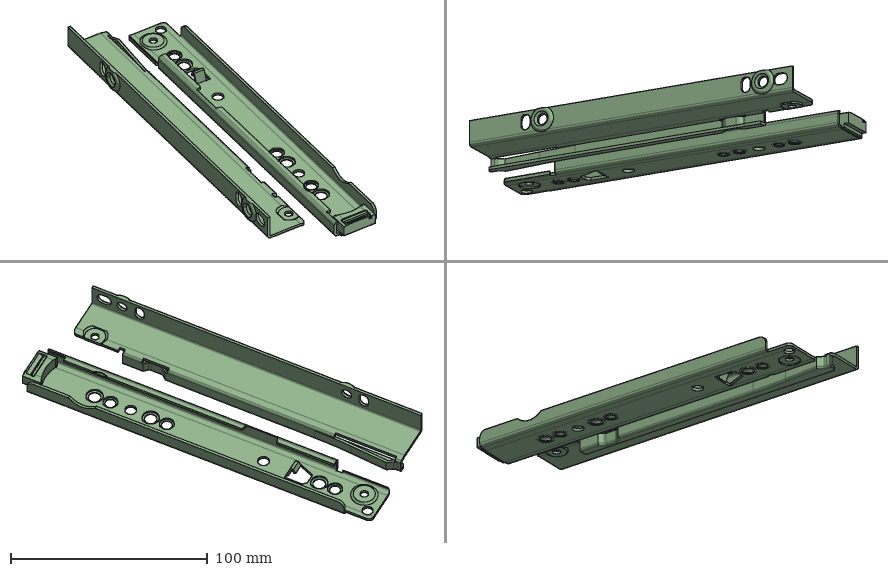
import cadquery as cq
import math


SHEET = 1.5
INNER_BEND = 0.5
OUTER_BEND = INNER_BEND + SHEET
EDGE_RISE = 0.5
FAR = 99.6

CHANNEL_END = 194.7
CHANNEL_FRONT = 37.0
CHANNEL_BACK = 62.8
CHANNEL_HEIGHT = 9.2
FLOOR_FRONT = 41.9
FLOOR_BACK = 57.8
LIP_EDGE = 41.5
LIP_START, LIP_END = 30.7, 184.5
BACK_FLANGE_START = 14.3
FLANGE_CORNER = 3.8
TONGUE_FRONT, TONGUE_BACK = 37.9, 60.5
TONGUE_CORNER = 2.5
RELIEF_START = 27.3
RELIEF_EDGE = 39.0
LIP_GAP_START, LIP_GAP_END = 62.8, 83.7
LIP_GAP_TAPER = 1.4
DIP_START, DIP_LOW, DIP_END = 155.9, 163.5, 171.0
DIP_DEPTH = 3.2
DENT_LENGTH, DENT_WIDTH, DENT_DEPTH = 8.0, 1.2, 0.5

HOLE_LINE = 49.8
SMALL_HOLES = (26.0, 121.5, 153.7)
SMALL_BORE, SMALL_SINK = 5.5, 7.5
LARGE_HOLES = (34.9, 130.7, 162.6)
LARGE_BORE, LARGE_SINK = 6.4, 8.8
SINK_DEPTH = 1.0
PLAIN_HOLES = (66.5, 142.1)
PLAIN_BORE = 6.0
CORNER_HOLE = (4.5, 55.5)
CORNER_BORE = 5.5

PIVOT_BORE = 4.2
CHANNEL_DIMPLE = (10.8, 46.8)
CHANNEL_DIMPLE_RADIUS, CHANNEL_DIMPLE_TOP_RADIUS = 7.0, 5.5
DIMPLE_RISE = 0.8

WINDOW_LEFT, WINDOW_RIGHT = 40.3, 52.2
WINDOW_BACK, WINDOW_FRONT = 54.6, 42.3
WINDOW_CHAMFER = 2.0
WINDOW_LEFT_FRONT = 46.8
TAB_FRONT, TAB_BACK = 46.2, 52.2
TAB_TOP = 7.0
TAB_RISE_RUN = 2.2
TAB_CREST_RUN = 3.8
TAB_TIP_RUN = 5.2
TAB_TIP_DROP = 2.4
TAB_THICKNESS = 1.2

ANGLE_START, ANGLE_END = 0.5, 188.0
ANGLE_TILT = -0.18
ANGLE_TOP = 23.3
WALL_FACE = 1.8
WEB_BOTTOM = 9.8
WEB_TOP = WEB_BOTTOM + SHEET
WEB_FLAT_EDGE = 21.3
RUNNER_FACE = 26.0
RUNNER_INNER = RUNNER_FACE - SHEET
RUNNER_BEND = 1.4
RUNNER_TOP = 9.0
RUNNER_END = 159.0
FOOT_BOTTOM = 2.4
FOOT_TOP = FOOT_BOTTOM + SHEET
FOOT_EDGE = 21.0
FOOT_BEND = 1.2
FOOT_CORNER = 2.0
RAMP_START, RAMP_PEAK = 3.5, 7.5
RAMP_OUT = 2.4
RAMP_ARC_START, RAMP_ARC_END = 28.3, 49.5
RAMP_MEET = (RAMP_ARC_START + RAMP_ARC_END) / 2
JOG_START, JOG_END = 134.7, 147.5
JOG_SLOPE = 2.8
JOG_IN = 2.4
JOG_BEND = 1.5
RAMP_BEND = 3.0
RAMP_SLIT = (4.0, 38.7)
JOG_SLIT = (133.5, 148.0)
SLIT_EDGE = 23.7
END_TAB_EDGE = 25.0
END_TAB_CORNER = 2.5
ANGLE_RELIEF_END = 162.0
ANGLE_RELIEF_EDGE = 23.0

ANGLE_DIMPLE = (176.8, 21.7)
ANGLE_DIMPLE_RADIUS, ANGLE_DIMPLE_FLOOR_RADIUS = 6.5, 5.4
ANGLE_DIMPLE_EDGE = 16.5

BOSS_PLACES = (42.8, 170.8)
BOSS_LEVEL = 17.5
BOSS_DIAMETER = 13.2
BOSS_HEIGHT = 1.2
BOSS_SHOULDER_HEIGHT = 1.0
BOSS_SHOULDER_SHARE = 0.65
BOSS_BORE, BOSS_SINK = 5.5, 8.0
TALL_SLOTS = (33.0, 160.8)
TALL_SLOT_LENGTH, TALL_SLOT_WIDTH = 8.2, 5.2
LONG_SLOT = 181.0
LONG_SLOT_LENGTH, LONG_SLOT_WIDTH = 8.0, 6.2

STOP_START, STOP_END = 188.5, 199.0
STOP_FRONT, STOP_BACK = 40.5, 59.4
STOP_TOP = 8.5
STOP_SIDE_TOP = 8.0
STOP_HOLLOW = 1.5
STOP_RIM = 1.4
STOP_RIM_STEP = 0.4
STOP_CREST_FRONT, STOP_CREST_BACK = 43.2, 56.2
OVERHANG_BOTTOM = 2.4
HOOK_END = 196.3
HOOK_BOTTOM = 0.5
GROOVE_START, GROOVE_STEP, GROOVE_DEEP_END, GROOVE_END = 193.5, 195.1, 196.1, 198.0
GROOVE_LEDGE, GROOVE_BOTTOM = 8.0, 6.8
GROOVE_FRONT, GROOVE_BACK = 42.0, 57.2
NUB_SIZE = 1.5
NUB_END = 199.3
NUB_CENTER = 56.2


def block(x0, x1, y0, y1, z0, z1):
    """Box between two opposite corners."""
    return cq.Workplane("XY").box(x1 - x0, y1 - y0, z1 - z0, centered=False).translate((x0, y0, z0))


def disc(center, diameter, z0, z1):
    """Upright cylinder between two heights."""
    return cq.Workplane("XY", origin=(*center, z0)).circle(diameter / 2).extrude(z1 - z0)


def cone(center, z0, r0, z1, r1):
    """Upright cone frustum with radius r0 at z0 and r1 at z1."""
    return cq.Workplane("XY").add(cq.Solid.makeCone(r0, r1, z1 - z0, (*center, z0)))


def prism(plane, points, start, length):
    """Polygon pushed along the normal of a plane."""
    return cq.Workplane(plane).workplane(offset=start).polyline(points).close().extrude(length)


def offset_path(points, distance):
    """Copy of an open path moved to its left, with mitred corners."""
    headings = [math.atan2(b[1] - a[1], b[0] - a[0]) for a, b in zip(points, points[1:])]
    before = [headings[0]] + headings
    after = headings + [headings[-1]]
    moved = []
    for (u, v), h0, h1 in zip(points, before, after):
        middle = (h0 + h1) / 2
        reach = distance / math.cos((h1 - h0) / 2)
        moved.append((u - reach * math.sin(middle), v + reach * math.cos(middle)))
    return moved


def strip_section(points, thickness):
    """Closed outline of a folded strip lying to the left of a path."""
    return points + offset_path(points, thickness)[::-1]


def round_edges(body, corners, x, radius):
    """Round the long edges that pass through the given YZ corners."""
    for y, z in corners:
        body = body.edges(cq.selectors.NearestToPointSelector((x, y, z))).fillet(radius)
    return body


def channel_sheet():
    """Folded channel with a lip on its front flange."""
    path = [
        (CHANNEL_BACK, CHANNEL_HEIGHT),
        (CHANNEL_BACK, EDGE_RISE),
        (FLOOR_BACK, 0),
        (FLOOR_FRONT, 0),
        (CHANNEL_FRONT, EDGE_RISE),
        (CHANNEL_FRONT, CHANNEL_HEIGHT),
        (LIP_EDGE, CHANNEL_HEIGHT),
    ]
    inner = offset_path(path, -SHEET)
    bends = (1, 4, 5)
    sheet = prism("YZ", path + inner[::-1], 0, CHANNEL_END)
    middle = CHANNEL_END / 2
    sheet = round_edges(sheet, [path[i] for i in bends], middle, OUTER_BEND)
    return round_edges(sheet, [inner[i] for i in bends], middle, INNER_BEND)


def trim_channel(rail):
    """Cut the flanges and the lip back and shape the left tongue."""
    top = CHANNEL_HEIGHT + 2
    flange_root = EDGE_RISE + OUTER_BEND
    rail = rail.cut(block(-2, LIP_START, 0, TONGUE_FRONT, -2, top))
    rail = rail.cut(block(-2, LIP_START, 0, FLOOR_FRONT, flange_root, top))
    rail = rail.cut(block(-2, BACK_FLANGE_START, TONGUE_BACK, FAR, -2, top))
    rail = rail.cut(block(RELIEF_START, LIP_START, 0, RELIEF_EDGE, -2, top))
    lip_root = CHANNEL_FRONT + OUTER_BEND
    rail = rail.cut(block(LIP_END, FAR * 2, lip_root, FLOOR_FRONT, flange_root, top))
    for y in (TONGUE_FRONT, TONGUE_BACK):
        corner = cq.selectors.NearestToPointSelector((0, y, SHEET))
        rail = rail.edges("|Z").edges(corner).fillet(TONGUE_CORNER)
    gap = [
        (LIP_GAP_START, LIP_EDGE + 2),
        (LIP_GAP_END, LIP_EDGE + 2),
        (LIP_GAP_END - LIP_GAP_TAPER, CHANNEL_FRONT + SHEET),
        (LIP_GAP_START + LIP_GAP_TAPER, CHANNEL_FRONT + SHEET),
    ]
    return rail.cut(prism("XY", gap, flange_root, top))


def shape_back_flange(rail):
    """Round the upper corners of the back flange and dip its top edge."""
    for x in (BACK_FLANGE_START, CHANNEL_END):
        corner = cq.selectors.NearestToPointSelector((x, CHANNEL_BACK - SHEET / 2, CHANNEL_HEIGHT))
        rail = rail.edges("|Y").edges(corner).fillet(FLANGE_CORNER)
    low = CHANNEL_HEIGHT - DIP_DEPTH
    dip = (
        cq.Workplane("XZ", origin=(0, FAR, 0))
        .moveTo(DIP_START, CHANNEL_HEIGHT)
        .spline([(DIP_LOW, low), (DIP_END, CHANNEL_HEIGHT)], includeCurrent=True)
        .close()
        .extrude(FAR - FLOOR_BACK)
    )
    return rail.cut(dip)


def dent_lip(rail):
    """Shallow arc-shaped dent in the top of the lip."""
    radius = (DENT_LENGTH ** 2 / 4 + DENT_WIDTH ** 2) / (2 * DENT_WIDTH)
    center = (DIP_LOW, LIP_EDGE - DENT_WIDTH + radius)
    floor = CHANNEL_HEIGHT - DENT_DEPTH
    lip_zone = block(DIP_START, DIP_END, CHANNEL_FRONT, FLOOR_FRONT, floor, CHANNEL_HEIGHT)
    return rail.cut(disc(center, 2 * radius, floor, CHANNEL_HEIGHT).intersect(lip_zone))


def drill_channel(rail):
    """Counterbored, plain and corner holes in the floor."""
    for places, bore, sink in (
        (SMALL_HOLES, SMALL_BORE, SMALL_SINK),
        (LARGE_HOLES, LARGE_BORE, LARGE_SINK),
    ):
        for x in places:
            center = (x, HOLE_LINE)
            rail = rail.cut(disc(center, bore, -2, 2))
            rail = rail.cut(disc(center, sink, SHEET - SINK_DEPTH, 2))
    for x in PLAIN_HOLES:
        rail = rail.cut(disc((x, HOLE_LINE), PLAIN_BORE, -2, 2))
    return rail.cut(disc(CORNER_HOLE, CORNER_BORE, -2, 4))


def add_channel_dimple(rail):
    """Raised round dimple with a pivot hole on the tongue."""
    foot, crown = CHANNEL_DIMPLE_RADIUS, CHANNEL_DIMPLE_TOP_RADIUS
    rail = rail.union(cone(CHANNEL_DIMPLE, SHEET, foot, SHEET + DIMPLE_RISE, crown))
    rail = rail.cut(disc(CHANNEL_DIMPLE, 2 * crown, -2, DIMPLE_RISE))
    return rail.cut(disc(CHANNEL_DIMPLE, PIVOT_BORE, -2, 4))


def add_catch(rail):
    """Window in the floor with a bent-up tab at its right edge."""
    window = [
        (WINDOW_LEFT, WINDOW_LEFT_FRONT),
        (WINDOW_LEFT, WINDOW_BACK - WINDOW_CHAMFER),
        (WINDOW_LEFT + WINDOW_CHAMFER, WINDOW_BACK),
        (WINDOW_RIGHT, WINDOW_BACK),
        (WINDOW_RIGHT, WINDOW_FRONT),
        (WINDOW_RIGHT - WINDOW_CHAMFER / 2, WINDOW_FRONT),
    ]
    rail = rail.cut(prism("XY", window, -2, 4))
    path = [
        (WINDOW_RIGHT + SHEET, SHEET),
        (WINDOW_RIGHT, SHEET),
        (WINDOW_RIGHT - TAB_RISE_RUN, TAB_TOP),
        (WINDOW_RIGHT - TAB_CREST_RUN, TAB_TOP),
        (WINDOW_RIGHT - TAB_TIP_RUN, TAB_TOP - TAB_TIP_DROP),
    ]
    tab = prism("XZ", strip_section(path, TAB_THICKNESS), -TAB_BACK, TAB_BACK - TAB_FRONT)
    return rail.union(tab)


def make_channel_rail():
    rail = trim_channel(channel_sheet())
    rail = shape_back_flange(rail)
    rail = dent_lip(rail)
    rail = drill_channel(rail)
    rail = add_channel_dimple(rail)
    return add_catch(rail)


def angle_sheet():
    """Upright wall, web and the bend that starts the runner."""
    path = [
        (WALL_FACE, ANGLE_TOP),
        (WALL_FACE, WEB_BOTTOM),
        (WEB_FLAT_EDGE, WEB_BOTTOM),
        (RUNNER_INNER, WEB_BOTTOM - EDGE_RISE),
        (RUNNER_INNER, RUNNER_TOP),
    ]
    upper = offset_path(path, SHEET)
    sheet = prism("YZ", path + upper[::-1], ANGLE_START, ANGLE_END - ANGLE_START)
    middle = (ANGLE_START + ANGLE_END) / 2
    sheet = round_edges(sheet, [path[1]], middle, OUTER_BEND)
    sheet = round_edges(sheet, [upper[3]], middle, RUNNER_BEND)
    return round_edges(sheet, [upper[1]], middle, INNER_BEND)


def runner_plan(shift, z0, z1):
    """Runner plan, bounded by its ramped and jogged face moved inward by a shift."""
    face = RUNNER_FACE - shift
    peak = face + RAMP_OUT
    ramp_slope = RAMP_OUT / (RAMP_MEET - RAMP_PEAK)
    plan = (
        cq.Workplane("XY", origin=(0, 0, z0))
        .moveTo(ANGLE_START, FOOT_EDGE)
        .lineTo(ANGLE_START, face)
        .lineTo(RAMP_START, face)
        .lineTo(RAMP_PEAK, peak)
        .lineTo(RAMP_ARC_START, peak - ramp_slope * (RAMP_ARC_START - RAMP_PEAK))
        .tangentArcPoint((RAMP_ARC_END, face), relative=False)
        .lineTo(JOG_START, face)
        .lineTo(JOG_START + JOG_SLOPE, face - JOG_IN)
        .lineTo(JOG_END - JOG_SLOPE, face - JOG_IN)
        .lineTo(JOG_END, face)
        .lineTo(RUNNER_END, face)
        .lineTo(RUNNER_END, FOOT_EDGE)
        .close()
        .extrude(z1 - z0)
    )
    bends = (
        (RAMP_START, face, RAMP_BEND),
        (JOG_START + JOG_SLOPE, face - JOG_IN, JOG_BEND),
        (JOG_END - JOG_SLOPE, face - JOG_IN, JOG_BEND),
    )
    for x, y, radius in bends:
        corner = cq.selectors.NearestToPointSelector((x, y, (z0 + z1) / 2))
        plan = plan.edges("|Z").edges(corner).fillet(radius)
    return plan


def runner():
    """Hanging runner with an inward foot along its bottom."""
    solid = runner_plan(0, FOOT_BOTTOM, RUNNER_TOP)
    margin = FOOT_BEND / 5
    outer_bottom = cq.selectors.BoxSelector(
        (ANGLE_START + margin, FOOT_EDGE + margin, FOOT_BOTTOM - margin),
        (RUNNER_END - margin, FAR, FOOT_BOTTOM + margin),
    )
    solid = solid.edges(outer_bottom).fillet(FOOT_BEND)
    solid = solid.cut(runner_plan(SHEET, FOOT_TOP, RUNNER_TOP))
    foot_corner = cq.selectors.NearestToPointSelector((ANGLE_START, FOOT_EDGE, FOOT_BOTTOM))
    return solid.edges("|Z").edges(foot_corner).fillet(FOOT_CORNER)


def add_runner(rail):
    """Clear the sheet where the runner leaves its straight line, then join the runner."""
    for x0, x1 in (RAMP_SLIT, JOG_SLIT):
        rail = rail.cut(block(x0, x1, SLIT_EDGE, FAR, 0, ANGLE_TOP))
    web_under = WEB_BOTTOM - EDGE_RISE
    rail = rail.cut(block(RUNNER_END, FAR * 2, END_TAB_EDGE, FAR, 0, ANGLE_TOP))
    rail = rail.cut(block(RUNNER_END, FAR * 2, WEB_FLAT_EDGE, FAR, 0, web_under))
    rail = rail.cut(block(RUNNER_END, ANGLE_RELIEF_END, ANGLE_RELIEF_EDGE, FAR, 0, ANGLE_TOP))
    corner = cq.selectors.NearestToPointSelector((ANGLE_END, END_TAB_EDGE, WEB_BOTTOM))
    rail = rail.edges("|Z").edges(corner).fillet(END_TAB_CORNER)
    return rail.union(runner())


def add_angle_dimple(rail):
    """Sunken dimple with a pivot hole, flattened on its wall side."""
    rim, floor = ANGLE_DIMPLE_RADIUS, ANGLE_DIMPLE_FLOOR_RADIUS
    limit = block(RUNNER_END, ANGLE_END, ANGLE_DIMPLE_EDGE, END_TAB_EDGE, 0, ANGLE_TOP)
    bottom = WEB_BOTTOM - DIMPLE_RISE
    shell = cone(ANGLE_DIMPLE, bottom, floor, WEB_TOP - EDGE_RISE, rim).intersect(limit)
    hollow = cone(ANGLE_DIMPLE, bottom + SHEET, floor, WEB_TOP, rim).intersect(limit)
    rail = rail.union(shell).cut(hollow)
    return rail.cut(disc(ANGLE_DIMPLE, PIVOT_BORE, 0, ANGLE_TOP))


def wall_plane():
    """Workplane on the inner face of the upright wall, with its normal along -Y."""
    return cq.Workplane("XZ", origin=(0, WALL_FACE + SHEET, 0))


def add_bosses(rail):
    """Rounded bosses with countersunk holes, kept within the wall height."""
    wall = block(ANGLE_START, ANGLE_END, -2, WALL_FACE + SHEET, WEB_BOTTOM, ANGLE_TOP)
    tip = WALL_FACE - BOSS_HEIGHT
    crown, rim = BOSS_SINK / 2, BOSS_DIAMETER / 2
    shoulder = crown + BOSS_SHOULDER_SHARE * (rim - crown)
    sink_depth = (BOSS_SINK - BOSS_BORE) / 2
    for x in BOSS_PLACES:
        boss = (
            cq.Workplane("XY")
            .moveTo(0, tip)
            .lineTo(crown, tip)
            .threePointArc((shoulder, WALL_FACE - BOSS_SHOULDER_HEIGHT), (rim, WALL_FACE))
            .lineTo(rim, WALL_FACE + SHEET)
            .lineTo(0, WALL_FACE + SHEET)
            .close()
            .revolve(360, (0, 0), (0, 1))
            .translate((x, 0, BOSS_LEVEL))
        )
        bore_length = BOSS_HEIGHT + SHEET
        bore = cq.Solid.makeCylinder(BOSS_BORE / 2, bore_length, (x, tip, BOSS_LEVEL), (0, 1, 0))
        sink = cq.Solid.makeCone(
            BOSS_SINK / 2, BOSS_BORE / 2, sink_depth, (x, tip, BOSS_LEVEL), (0, 1, 0)
        )
        rail = rail.union(boss.intersect(wall)).cut(cq.Workplane(bore)).cut(cq.Workplane(sink))
    return rail


def cut_wall_slots(rail):
    """Tall slots beside the bosses and one long slot at the right end."""
    tall = [(x, BOSS_LEVEL) for x in TALL_SLOTS]
    upright = wall_plane().pushPoints(tall).slot2D(TALL_SLOT_LENGTH, TALL_SLOT_WIDTH, 90)
    rail = rail.cut(upright.extrude(SHEET))
    level = wall_plane().center(LONG_SLOT, BOSS_LEVEL).slot2D(LONG_SLOT_LENGTH, LONG_SLOT_WIDTH)
    return rail.cut(level.extrude(SHEET))


def make_angle_rail():
    rail = add_runner(angle_sheet())
    rail = add_angle_dimple(rail)
    rail = add_bosses(rail)
    rail = cut_wall_slots(rail)
    pivot = (ANGLE_START, WALL_FACE, 0)
    return rail.rotate(pivot, (ANGLE_START, WALL_FACE, 1), ANGLE_TILT)


def make_end_stop(rail):
    """Plug in the right end of the channel, fitted to its floor."""
    middle = (STOP_FRONT + STOP_BACK) / 2
    hollow_edge = STOP_START + STOP_RIM_STEP
    stop = (
        cq.Workplane("XY")
        .moveTo(STOP_START, STOP_FRONT)
        .lineTo(STOP_START, STOP_FRONT + STOP_RIM)
        .lineTo(hollow_edge, STOP_FRONT + STOP_RIM)
        .threePointArc((hollow_edge + STOP_HOLLOW, middle), (hollow_edge, STOP_BACK - STOP_RIM))
        .lineTo(STOP_START, STOP_BACK - STOP_RIM)
        .lineTo(STOP_START, STOP_BACK)
        .lineTo(STOP_END, STOP_BACK)
        .lineTo(STOP_END, STOP_FRONT)
        .close()
        .extrude(STOP_TOP)
    )
    roof = [
        (STOP_FRONT, 0),
        (STOP_FRONT, STOP_SIDE_TOP),
        (STOP_CREST_FRONT, STOP_TOP),
        (STOP_CREST_BACK, STOP_TOP),
        (STOP_BACK, STOP_SIDE_TOP),
        (STOP_BACK, 0),
    ]
    stop = stop.intersect(prism("YZ", roof, STOP_START, STOP_END - STOP_START))
    stop = stop.cut(block(CHANNEL_END, FAR * 3, 0, FAR, -2, HOOK_BOTTOM))
    stop = stop.cut(block(HOOK_END, FAR * 3, 0, FAR, -2, OVERHANG_BOTTOM))
    below_rail = block(0, CHANNEL_END, 0, FAR, -2, SHEET)
    stop = stop.cut(below_rail).cut(rail)
    groove = [
        (GROOVE_START, STOP_TOP),
        (GROOVE_START, GROOVE_LEDGE),
        (GROOVE_STEP, GROOVE_LEDGE),
        (GROOVE_STEP, GROOVE_BOTTOM),
        (GROOVE_DEEP_END, GROOVE_BOTTOM),
        (GROOVE_END, STOP_TOP),
    ]
    stop = stop.cut(prism("XZ", groove, -GROOVE_BACK, GROOVE_BACK - GROOVE_FRONT))
    nub = block(
        STOP_END - NUB_SIZE, NUB_END,
        NUB_CENTER - NUB_SIZE / 2, NUB_CENTER + NUB_SIZE / 2,
        STOP_SIDE_TOP - NUB_SIZE / 2, STOP_SIDE_TOP,
    )
    return stop.union(nub)


channel_rail = make_channel_rail()
angle_rail = make_angle_rail()
end_stop = make_end_stop(channel_rail)

bodies = (channel_rail, angle_rail, end_stop)
result = cq.Compound.makeCompound([body.solids().val() for body in bodies])